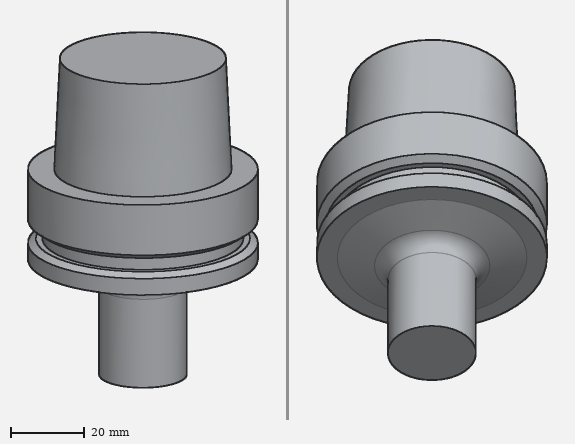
import cadquery as cq
import math

total_height = 90.9
stem_radius = 24.1 / 2
stem_top = 25.5

flange_radius = 62.9 / 2
groove_radius = 55.0 / 2
flange_bottom = 33.1
lower_rim_top = 37.8
groove_bottom = 39.1
groove_top = 43.0
upper_rim_bottom = 44.5
flange_top = 59.0
groove_mouth_radius = 29.3

cone_slope = math.radians(15)
blend_radius = 5.0

shank_base_radius = 24.3
shank_top_radius = 22.7

blend_center_x = stem_radius + blend_radius
blend_sweep = math.pi / 2 - cone_slope


def blend_point(angle):
    """Point on the blend arc, with the angle measured from the stem."""
    return (
        blend_center_x - blend_radius * math.cos(angle),
        stem_top + blend_radius * math.sin(angle),
    )


blend_end_x, blend_end_z = blend_point(blend_sweep)
cone_outer_radius = blend_end_x + (flange_bottom - blend_end_z) / math.tan(cone_slope)

profile = (
    cq.Workplane("XZ")
    .moveTo(0, 0)
    .lineTo(stem_radius, 0)
    .lineTo(stem_radius, stem_top)
    .threePointArc(blend_point(blend_sweep / 2), (blend_end_x, blend_end_z))
    .lineTo(cone_outer_radius, flange_bottom)
    .lineTo(flange_radius, flange_bottom)
    .lineTo(flange_radius, lower_rim_top)
    .lineTo(groove_mouth_radius, groove_bottom)
    .lineTo(groove_radius, groove_bottom)
    .lineTo(groove_radius, groove_top)
    .lineTo(groove_mouth_radius, groove_top)
    .lineTo(flange_radius, upper_rim_bottom)
    .lineTo(flange_radius, flange_top)
    .lineTo(shank_base_radius, flange_top)
    .lineTo(shank_top_radius, total_height)
    .lineTo(0, total_height)
    .close()
)

result = profile.revolve(360, (0, 0, 0), (0, 1, 0))